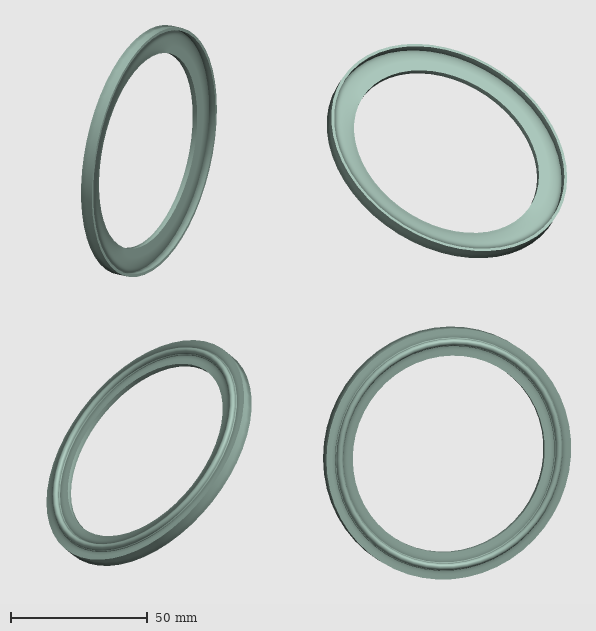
import cadquery as cq

outer_diameter = 93.2
bore_diameter = 73.1
overall_width = 6.4
rim_inner_diameter = 91.0
rim_width = 4.5
web_thickness = 1.9

bead_outer_diameter = 85.9
bead_inner_diameter = 81.1
foot_fillet = 0.4

bead_height = overall_width - rim_width
bead_half_width = (bead_outer_diameter - bead_inner_diameter) / 4
bead_center_radius = (bead_outer_diameter + bead_inner_diameter) / 4


def make_ring():
    """Web and rim flush at X = 0, the rim standing past the web on the +X side."""
    web = (
        cq.Workplane("YZ")
        .circle(outer_diameter / 2)
        .circle(bore_diameter / 2)
        .extrude(web_thickness)
    )
    rim = (
        cq.Workplane("YZ")
        .circle(outer_diameter / 2)
        .circle(rim_inner_diameter / 2)
        .extrude(rim_width)
    )
    return web.union(rim)


def make_bead():
    """Bead with straight flanks, a half-round crest and concave fillets at its foot."""
    crest_x = -bead_height
    shoulder_x = crest_x + bead_half_width
    inner_radius = bead_inner_diameter / 2
    outer_radius = bead_outer_diameter / 2
    root_x = web_thickness / 2

    profile = (
        cq.Workplane("XY")
        .moveTo(root_x, inner_radius - foot_fillet)
        .lineTo(0, inner_radius - foot_fillet)
        .radiusArc((-foot_fillet, inner_radius), foot_fillet)
        .lineTo(shoulder_x, inner_radius)
        .threePointArc((crest_x, bead_center_radius), (shoulder_x, outer_radius))
        .lineTo(-foot_fillet, outer_radius)
        .radiusArc((0, outer_radius + foot_fillet), foot_fillet)
        .lineTo(root_x, outer_radius + foot_fillet)
        .close()
    )
    return profile.revolve(360, (0, 0, 0), (1, 0, 0))


result = make_ring().union(make_bead())